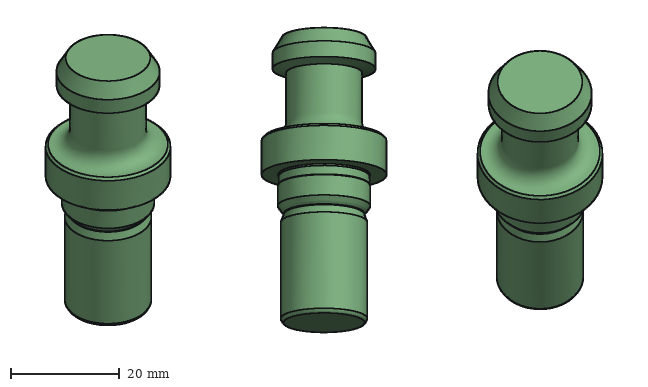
import cadquery as cq

total_height = 54.0
collar_top = 35.0
collar_bottom = 28.0
relief_bottom = 26.1
pilot_top = 25.9
pilot_bottom = 22.1
pilot_taper_break = 21.15
groove_top = 20.7
groove_bottom = 20.5
shank_top = 19.0

head_radius = 9.5
neck_radius = 7.0
collar_radius = 11.5
relief_radius = 8.35
pilot_radius = 8.55
pilot_taper_break_radius = 7.9
groove_radius = 7.4
shank_radius = 8.0

head_top_radius = 7.8
head_taper_height = 2.95
head_rim_height = 2.95
head_underside_height = 0.75

neck_fillet = 3.0
collar_chamfer = 0.5
relief_shoulder_height = 0.3
relief_shoulder_radius = 8.5
end_bevel_width = 0.25
end_bevel_height = 0.25
side_bevel_width = 0.25
side_bevel_height = 0.5

head_rim_top = total_height - head_taper_height
head_rim_bottom = head_rim_top - head_rim_height
shank_break_radius = shank_radius - side_bevel_width
shank_end_radius = shank_break_radius - end_bevel_width
neck_top = head_rim_bottom - head_underside_height

profile = (
    cq.Workplane("XZ")
    .moveTo(0, 0)
    .lineTo(shank_end_radius, 0)
    .lineTo(shank_break_radius, end_bevel_height)
    .lineTo(shank_radius, end_bevel_height + side_bevel_height)
    .lineTo(shank_radius, shank_top)
    .lineTo(groove_radius, groove_bottom)
    .lineTo(groove_radius, groove_top)
    .lineTo(pilot_taper_break_radius, pilot_taper_break)
    .lineTo(pilot_radius, pilot_bottom)
    .lineTo(pilot_radius, pilot_top)
    .lineTo(relief_radius, relief_bottom)
    .lineTo(relief_radius, collar_bottom - relief_shoulder_height)
    .lineTo(relief_shoulder_radius, collar_bottom)
    .lineTo(collar_radius, collar_bottom)
    .lineTo(collar_radius, collar_top - collar_chamfer)
    .lineTo(collar_radius - collar_chamfer, collar_top)
    .lineTo(neck_radius + neck_fillet, collar_top)
    .radiusArc((neck_radius, collar_top + neck_fillet), neck_fillet)
    .lineTo(neck_radius, neck_top)
    .lineTo(head_radius, head_rim_bottom)
    .lineTo(head_radius, head_rim_top)
    .lineTo(head_top_radius, total_height)
    .lineTo(0, total_height)
    .close()
)

result = profile.revolve(360, (0, 0, 0), (0, 1, 0))